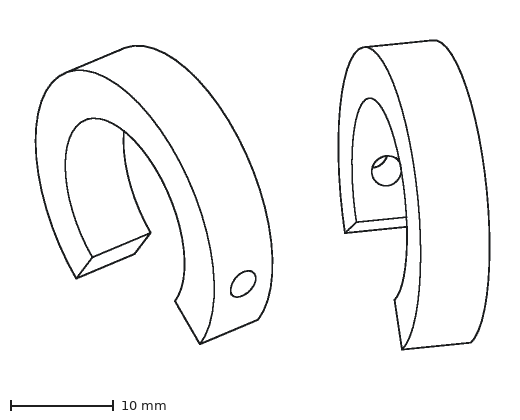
import cadquery as cq
import math

outer_radius = 15.0
inner_radius = outer_radius * 2 / 3
width = 7.0
gap_angle = 90.0
right_end_angle = -33.0

hole_diameter = 3.0
hole_height = -1.0


def polar(radius, angle):
    """Point in the XZ plane at a radius and an angle in degrees."""
    return (radius * math.cos(math.radians(angle)), radius * math.sin(math.radians(angle)))


def open_ring():
    """Flat ring with a gap whose end faces are radial."""
    left_end_angle = right_end_angle - gap_angle
    middle_angle = right_end_angle + (360 - gap_angle) / 2
    return (
        cq.Workplane("XZ")
        .moveTo(*polar(inner_radius, right_end_angle))
        .lineTo(*polar(outer_radius, right_end_angle))
        .threePointArc(polar(outer_radius, middle_angle), polar(outer_radius, left_end_angle))
        .lineTo(*polar(inner_radius, left_end_angle))
        .threePointArc(polar(inner_radius, middle_angle), polar(inner_radius, right_end_angle))
        .close()
        .extrude(width / 2, both=True)
    )


def side_hole():
    """Cylinder along +X from the middle of the ring past its outer wall."""
    return (
        cq.Workplane("YZ")
        .center(0, hole_height)
        .circle(hole_diameter / 2)
        .extrude(outer_radius * 1.1)
    )


result = open_ring().cut(side_hole())